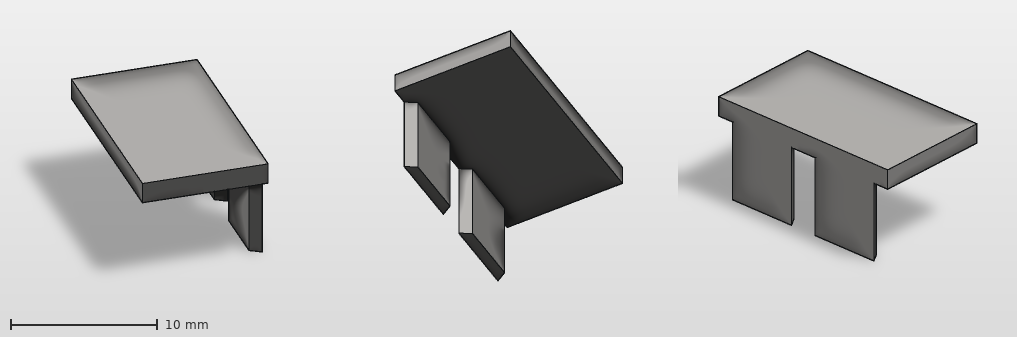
import cadquery as cq

plate_length = 15.6
plate_depth = 9.0
plate_thickness = 1.5

total_height = 7.5
leg_height = total_height - plate_thickness
leg_thickness = 0.8
leg_rear_width = 5.45
leg_side_taper = 0.48
leg_spacing = 7.6

rear_y = plate_depth / 2


def make_plate():
    """Flat plate centred on X and Y, resting on top of the legs."""
    plate = cq.Workplane("XY").box(
        plate_length, plate_depth, plate_thickness, centered=(True, True, False)
    )
    return plate.translate((0, 0, leg_height))


def make_leg(center_x):
    """Upright leg whose trapezoidal section is widest at the rear face."""
    front_y = rear_y - leg_thickness
    rear_half = leg_rear_width / 2
    front_half = rear_half - leg_side_taper
    section = [
        (center_x - rear_half, rear_y),
        (center_x - front_half, front_y),
        (center_x + front_half, front_y),
        (center_x + rear_half, rear_y),
    ]
    return cq.Workplane("XY").polyline(section).close().extrude(leg_height)


result = make_plate()
for side in (-1, 1):
    result = result.union(make_leg(side * leg_spacing / 2))